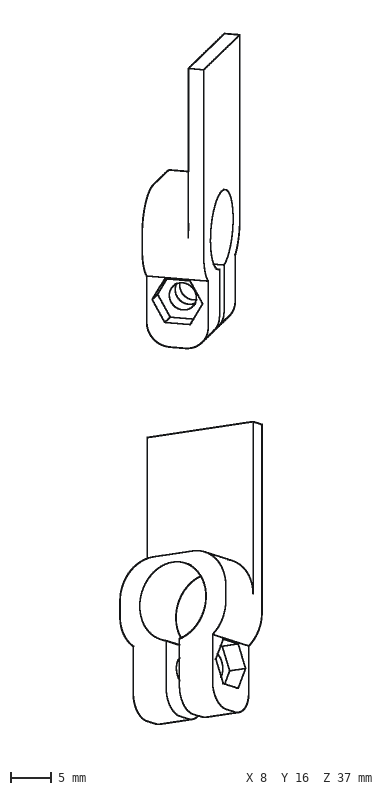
import cadquery as cq

depth = 8.0
width = 16.0
height = 37.0

plate_thickness = 2.0
bore_diameter = 10.0
bore_height = 14.0
ring_top = 20.0
ring_bottom = 8.0
corner_radius = 5.0

jaws_width = 12.0
slot_width = 2.0
jaw_corner_radius = 3.0

screw_height = 6.0
screw_diameter = 3.5
nut_across_corners = 6.55
nut_depth = 2.4


def block(size_x, size_y, bottom, top):
    """Box starting at X = 0, centred on Y, between two heights."""
    box = cq.Workplane("XY").box(size_x, size_y, top - bottom, centered=(False, True, False))
    return box.translate((0, 0, bottom))


def make_ring():
    """Rounded clamp body running through the full depth."""
    return block(depth, width, ring_bottom, ring_top).edges("|X").fillet(corner_radius)


def make_plate():
    """Flat plate rising from the +X side of the ring."""
    plate = block(plate_thickness, width, bore_height, height)
    return plate.translate((depth - plate_thickness, 0, 0))


def make_jaws():
    """Lower clamp lugs with rounded bottom corners, before slotting."""
    jaws = block(depth, jaws_width, 0, bore_height)
    return jaws.edges("|Y and <Z").fillet(jaw_corner_radius)


def make_bore():
    """Round clamp opening with the slot that separates the jaws."""
    bore = cq.Workplane("YZ").center(0, bore_height).circle(bore_diameter / 2).extrude(depth)
    return bore.union(block(depth, slot_width, 0, bore_height))


def make_screw_cut():
    """Cross hole through both jaws and a hexagonal nut pocket in the -Y face."""
    face = cq.Workplane("XZ", origin=(depth / 2, -jaws_width / 2, screw_height))
    hole = face.circle(screw_diameter / 2).extrude(-jaws_width)
    nut_pocket = face.polygon(6, nut_across_corners).extrude(-nut_depth)
    return hole.union(nut_pocket)


body = make_ring().union(make_plate()).union(make_jaws())
result = body.cut(make_bore()).cut(make_screw_cut())